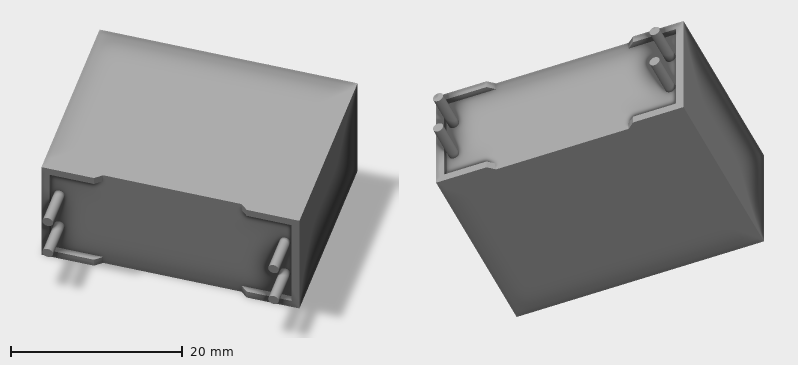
import cadquery as cq


LENGTH = 31.3
TOTAL_DEPTH = 27.8
HEIGHT = 14.3

RIM_WALL = 0.97
RIM_DEPTH = 0.75
NOTCH_FLOOR = 16.78
NOTCH_MOUTH = 18.53

LEAD_REACH = 4.0
LEAD_DIAMETER = 1.28
LEAD_SPACING_X = 27.4
LEAD_SPACING_Z = 5.05

HOUSING_DEPTH = TOTAL_DEPTH - LEAD_REACH


def box_from_rim(length, depth, height):
    """Box centred on X and Z that runs from the rim plane towards +Y."""
    return cq.Workplane("XY").box(length, depth, height, centered=(True, False, True))


def rim_notch():
    """Trapezoid that opens the two long rim walls, running through along Z."""
    return (
        cq.Workplane("XY")
        .moveTo(-NOTCH_MOUTH / 2, 0)
        .lineTo(NOTCH_MOUTH / 2, 0)
        .lineTo(NOTCH_FLOOR / 2, RIM_DEPTH)
        .lineTo(-NOTCH_FLOOR / 2, RIM_DEPTH)
        .close()
        .extrude(HEIGHT / 2, both=True)
    )


def housing():
    """Solid block with a shallow recess in its base and a notched rim around it."""
    block = box_from_rim(LENGTH, HOUSING_DEPTH, HEIGHT)
    recess = box_from_rim(LENGTH - 2 * RIM_WALL, RIM_DEPTH, HEIGHT - 2 * RIM_WALL)
    return block.cut(recess).cut(rim_notch())


def lead(x, z):
    """Round lead from the base face out past the rim."""
    base = cq.Plane(origin=(x, RIM_DEPTH, z), xDir=(0, 0, 1), normal=(0, -1, 0))
    return cq.Workplane(base).circle(LEAD_DIAMETER / 2).extrude(RIM_DEPTH + LEAD_REACH)


capacitor = housing()
for x in (-LEAD_SPACING_X / 2, LEAD_SPACING_X / 2):
    for z in (-LEAD_SPACING_Z / 2, LEAD_SPACING_Z / 2):
        capacitor = capacitor.union(lead(x, z))

result = cq.Compound.makeCompound([capacitor.val()])